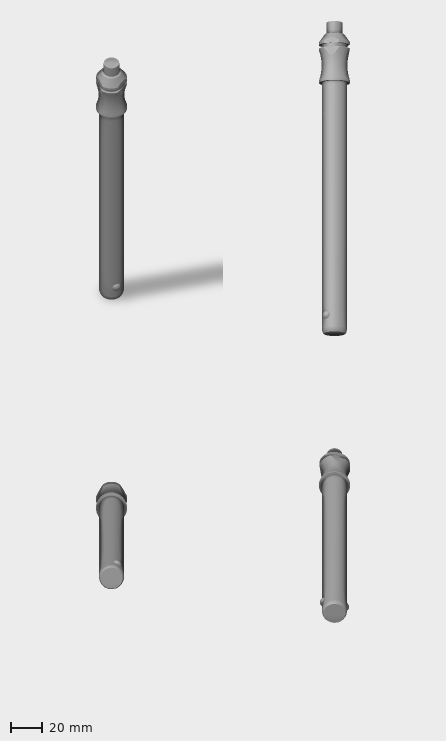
import cadquery as cq
import math

total_length = 203.5
grip_bottom = 164.0
lower_rim_height = 1.2
upper_rim_height = 0.6
grip_top = 186.2
collar_bottom = 188.6
collar_top = 190.4
shoulder_top = 195.7
neck_bottom = 196.2
tip_height = 3.0

lower_rim_top = grip_bottom + lower_rim_height
upper_rim_bottom = grip_top - upper_rim_height
waist_z = (lower_rim_top + upper_rim_bottom) / 2

shank_radius = 8.0
tip_radius = 7.0
grip_radius = 10.0
waist_radius = 8.25
groove_radius = 8.4
shoulder_radius = 6.3
neck_radius = 5.0

tip_bulge = 0.25

flat_count = 3
flat_distance = 8.7
first_flat_angle = -90.0

ball_radius = 3.0
ball_z = 11.3
ball_reach = 9.6


def make_body():
    """Revolve the shank, grip, groove, collar and neck as one profile."""
    tip_run = shank_radius - tip_radius
    tip_chord = math.hypot(tip_run, tip_height)
    tip_middle = (
        tip_radius + tip_run / 2 + tip_bulge * tip_height / tip_chord,
        tip_height / 2 - tip_bulge * tip_run / tip_chord,
    )
    return (
        cq.Workplane("XZ")
        .lineTo(tip_radius, 0)
        .threePointArc(tip_middle, (shank_radius, tip_height))
        .lineTo(shank_radius, grip_bottom)
        .lineTo(grip_radius, grip_bottom)
        .lineTo(grip_radius, lower_rim_top)
        .threePointArc((waist_radius, waist_z), (grip_radius, upper_rim_bottom))
        .lineTo(grip_radius, grip_top)
        .lineTo(groove_radius, grip_top)
        .lineTo(groove_radius, collar_bottom)
        .lineTo(grip_radius, collar_bottom)
        .lineTo(grip_radius, collar_top)
        .lineTo(shoulder_radius, shoulder_top)
        .lineTo(neck_radius, neck_bottom)
        .lineTo(neck_radius, total_length)
        .lineTo(0, total_length)
        .close()
        .revolve(360, (0, 0, 0), (0, 1, 0))
    )


def make_flat_cutters():
    """Blocks whose inner faces lie on the flats, from the waist up to the neck."""
    cutter_depth = grip_radius
    cutters = cq.Workplane("XY")
    for index in range(flat_count):
        block = (
            cq.Workplane("XY", origin=(0, 0, waist_z))
            .center(flat_distance + cutter_depth / 2, 0)
            .rect(cutter_depth, 2 * grip_radius)
            .extrude(neck_bottom - waist_z)
            .rotate((0, 0, 0), (0, 0, 1), first_flat_angle + index * 360 / flat_count)
        )
        cutters = cutters.add(block)
    return cutters.combine()


def make_balls():
    """Two opposed locking balls standing out of the shank along X."""
    ball_offset = ball_reach - ball_radius
    ball_centres = [(-ball_offset, 0), (ball_offset, 0)]
    return cq.Workplane("XY", origin=(0, 0, ball_z)).pushPoints(ball_centres).sphere(ball_radius)


result = make_body().cut(make_flat_cutters()).union(make_balls())